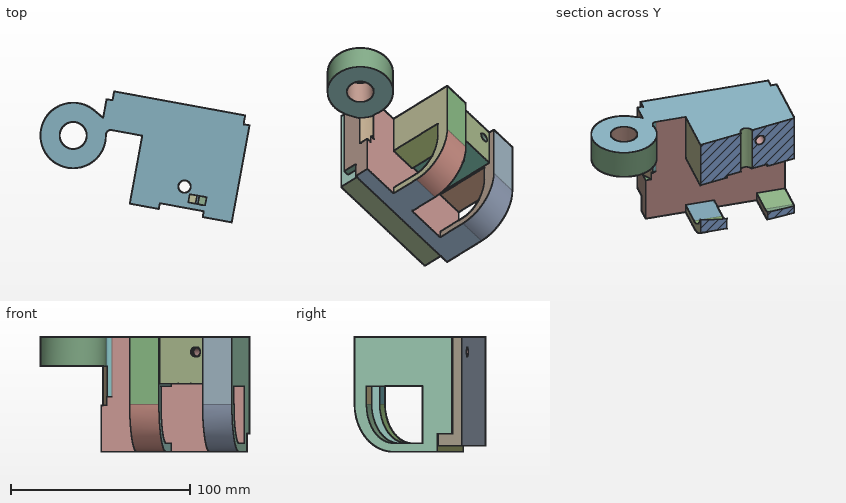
import cadquery as cq
import math

TURN_ANGLE = -10.4

height = 64.2
left_end = 14.6
right_end = 95.7
wall_front = 6.8
wall_back = 23.3

tongue_inset = 3.4
tongue_back = 28.4
tongue_depth = 60.8
rebate_front = 15.2
rebate_top = 54.0

block_left = 37.8
hook_width = 16.6
hook_front = -31.8
panel_front = -28.5
panel_depth = 26.1
hook_curve_length = 22.2
hook_curve_height = 26.7
cavity_top = 27.5
floor_thickness = 4.9
hook_thickness = 6.8

ring_radius = 18.3
bore_radius = 7.5
ring_height = 16.3
neck_back = 12.7
clearance_radius = 19.0
clearance_depth = 38.3
fillet_radius = 2.7
fillet_depth = 33.4

rod_x = 66.2
rod_y = -16.8
rod_radius = 3.4
screw_x = 74.6
screw_drop = 8.4
screw_radius = 2.7
nut_width = 9.6
slot_floor_width = 1.3
nut_front = -25.1
nut_back = -20.4


def block(x0, x1, y0, y1, top, bottom):
    """Box between two X, two Y and two depths below the top face."""
    corner = cq.Workplane("XY", origin=(x0, y0, -bottom))
    return corner.box(x1 - x0, y1 - y0, bottom - top, centered=False)


def post(x, y, radius, top, bottom):
    """Vertical cylinder between two depths below the top face."""
    return cq.Workplane("XY", origin=(x, y, -bottom)).circle(radius).extrude(bottom - top)


def make_wall():
    wall = block(left_end, right_end, wall_front, wall_back, 0, height)
    rebate = block(left_end, right_end, rebate_front, wall_back, rebate_top, height)
    tongue_left = left_end + tongue_inset
    tongue_right = right_end - tongue_inset
    tongue = block(tongue_left, tongue_right, rebate_front, tongue_back, 0, tongue_depth)
    return wall.cut(rebate).union(tongue)


def rounded_profile(front, back, top, bottom, curve_length, curve_height):
    """Side profile with a quarter-ellipse lower front corner, extruded along the block."""
    return (
        cq.Workplane("YZ", origin=(block_left, 0, 0))
        .moveTo(back, -top)
        .lineTo(front, -top)
        .lineTo(front, -bottom + curve_height)
        .ellipseArc(curve_length, curve_height, 180, 270, startAtCurrent=True)
        .lineTo(back, -bottom)
        .close()
        .extrude(right_end - block_left)
    )


def make_hook_block():
    body = rounded_profile(hook_front, wall_front, 0, height, hook_curve_length, hook_curve_height)
    cavity = rounded_profile(
        hook_front + hook_thickness,
        wall_front,
        cavity_top,
        height - floor_thickness,
        hook_curve_length - hook_thickness,
        hook_curve_height - floor_thickness,
    )
    gap_left = block_left + hook_width
    gap_right = right_end - hook_width
    panel_recess = block(gap_left, gap_right, hook_front, panel_front, 0, height)
    gap = block(gap_left, gap_right, hook_front, wall_front, panel_depth, height)
    return body.cut(cavity).cut(panel_recess).cut(gap)


def make_neck():
    """Webs joining the ring to the wall: tangent at the back, filleted at the front."""
    corner_distance = math.hypot(left_end, neck_back)
    tangent_angle = math.atan2(neck_back, left_end) + math.acos(ring_radius / corner_distance)
    fillet_y = wall_front - fillet_radius
    fillet_x = math.sqrt((ring_radius + fillet_radius) ** 2 - fillet_y**2)
    touch = ring_radius / (ring_radius + fillet_radius)
    back_web = (
        cq.Workplane("XY")
        .polyline(
            [
                (0, 0),
                (left_end, 0),
                (left_end, neck_back),
                (ring_radius * math.cos(tangent_angle), ring_radius * math.sin(tangent_angle)),
            ]
        )
        .close()
        .extrude(-ring_height)
    )
    front_web = (
        cq.Workplane("XY")
        .polyline(
            [
                (left_end, 0),
                (fillet_x * touch, fillet_y * touch),
                (fillet_x, fillet_y),
                (fillet_x, wall_front),
                (left_end, neck_back),
            ]
        )
        .close()
        .extrude(-fillet_depth)
    )
    front_web = front_web.cut(post(fillet_x, fillet_y, fillet_radius, 0, fillet_depth))
    return front_web.union(back_web)


def make_hinge(body):
    """Join the ring to the body and clear the space below the ring."""
    clearance = post(0, 0, clearance_radius, ring_height, clearance_depth)
    joined = body.union(make_neck()).cut(clearance)
    return joined.union(post(0, 0, ring_radius, 0, ring_height)).cut(post(0, 0, bore_radius, 0, ring_height))


def make_clamp_cuts():
    rod_hole = post(rod_x, rod_y, rod_radius, 0, height)
    screw_hole = (
        cq.Workplane("XZ", origin=(screw_x, tongue_back, -screw_drop))
        .circle(screw_radius)
        .extrude(tongue_back - panel_front)
    )
    half_width = nut_width / 2
    half_floor = slot_floor_width / 2
    flat_slope = math.tan(math.radians(30))
    shoulder = -half_width * flat_slope
    floor = shoulder - (half_width - half_floor) * flat_slope
    nut_slot = (
        cq.Workplane("XZ", origin=(screw_x, nut_back, -screw_drop))
        .polyline(
            [
                (-half_width, screw_drop),
                (-half_width, shoulder),
                (-half_floor, floor),
                (half_floor, floor),
                (half_width, shoulder),
                (half_width, screw_drop),
            ]
        )
        .close()
        .extrude(nut_back - nut_front)
    )
    return rod_hole.union(screw_hole).union(nut_slot)


body = make_wall().union(make_hook_block())
body = make_hinge(body).cut(make_clamp_cuts())
result = body.rotate((0, 0, 0), (0, 0, 1), TURN_ANGLE)